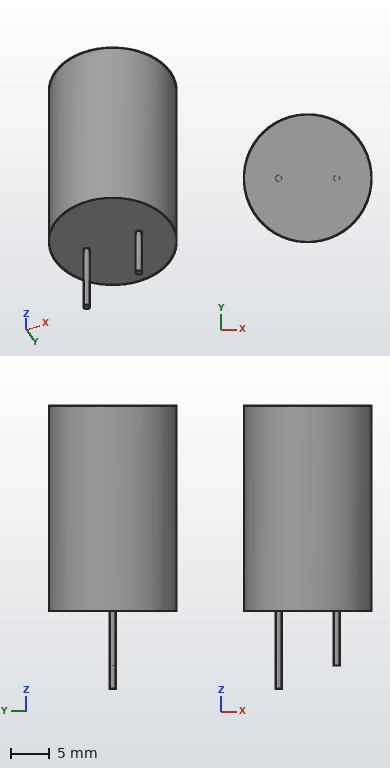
import cadquery as cq

overall_height = 36.5
can_diameter = 16.5
long_lead_length = 10.0
short_lead_length = 7.0
lead_diameter = 0.8
lead_spacing = 7.5

can_height = overall_height - long_lead_length


def make_can():
    """Plain cylinder with its underside at Z = 0."""
    return cq.Workplane("XY").circle(can_diameter / 2).extrude(can_height)


def make_lead(x, length):
    """Round wire hanging down from the underside of the can."""
    return cq.Workplane("XY").center(x, 0).circle(lead_diameter / 2).extrude(-length)


can = make_can()

lead_layout = [
    (-lead_spacing / 2, long_lead_length),
    (lead_spacing / 2, short_lead_length),
]
leads = [make_lead(x, length).val() for x, length in lead_layout]

result = cq.Compound.makeCompound([can.val(), *leads])